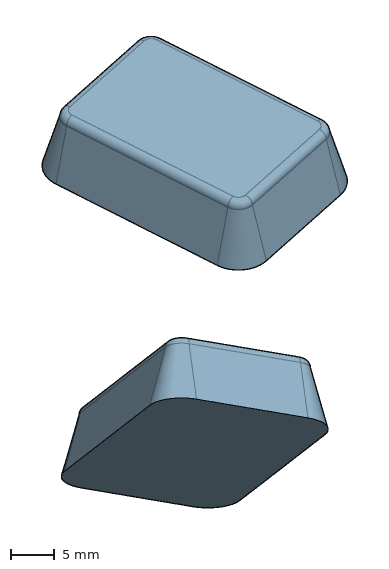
import cadquery as cq

length = 31.17
width = 22.13
base_corner_radius = 4.02

height = 8.5
wall_taper = 15.0
top_edge_radius = 1.0
tapered_height = height - top_edge_radius

base_outline = cq.Sketch().rect(length, width).vertices().fillet(base_corner_radius)
body = cq.Workplane("XY").placeSketch(base_outline).extrude(tapered_height, taper=wall_taper)

rim_wires = body.faces(">Z").wires()
cap = rim_wires.toPending().extrude(top_edge_radius, combine=False)
rim_clearance = 0.0003
cap = cap.faces(">Z").edges().fillet(top_edge_radius - rim_clearance)

result = body.union(cap)